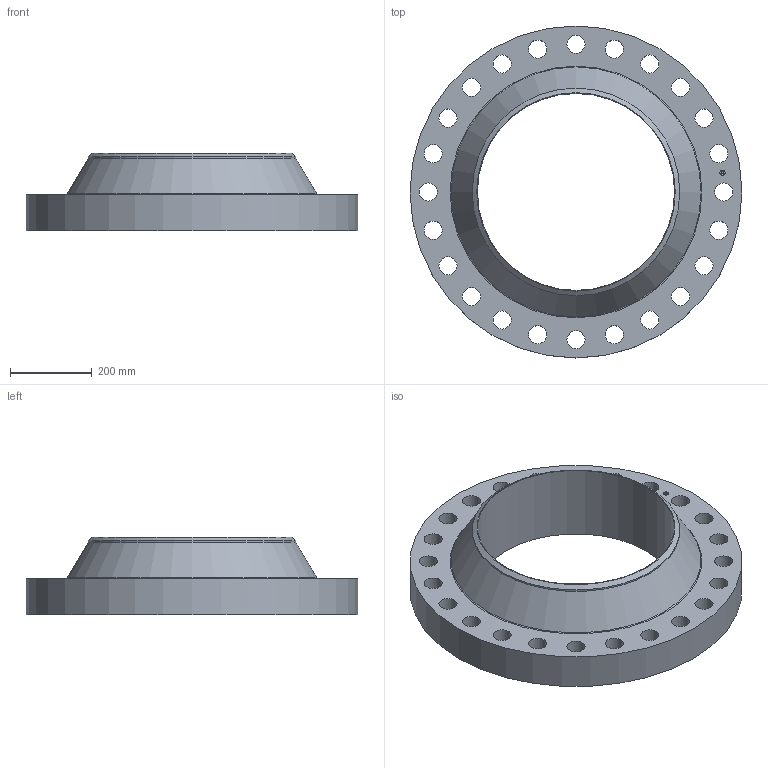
import math
import cadquery as cq

flange_diameter = 812.8
flange_thickness = 88.9

overall_height = 190.5
bore_diameter = 482.6
hub_base_diameter = 612.9
neck_diameter = 508.0
neck_straight_length = 4.0
weld_land = 1.6
bevel_angle = 37.5
hub_fillet_radius = 3.0

bolt_count = 24
bolt_circle_diameter = 723.9
bolt_hole_diameter = 44.5

recess_diameter = 12.7
recess_depth = 1.5
small_hole_diameter = 6.35
small_hole_depth = 12.7

bolt_pitch_angle = 360.0 / bolt_count
small_hole_angle = math.radians(bolt_pitch_angle / 2)

bolt_circle_radius = bolt_circle_diameter / 2
bore_radius = bore_diameter / 2
neck_radius = neck_diameter / 2
hub_base_radius = hub_base_diameter / 2
land_radius = bore_radius + weld_land
bevel_height = (neck_radius - land_radius) * math.tan(math.radians(bevel_angle))
bevel_base_z = overall_height - bevel_height
cone_top_z = bevel_base_z - neck_straight_length


def make_body():
    """Revolve the flange ring, tapered hub and bevelled weld end around Z."""
    profile = (
        cq.Workplane("XZ")
        .moveTo(bore_radius, 0)
        .lineTo(flange_diameter / 2, 0)
        .lineTo(flange_diameter / 2, flange_thickness)
        .lineTo(hub_base_radius, flange_thickness)
        .lineTo(neck_radius, cone_top_z)
        .lineTo(neck_radius, bevel_base_z)
        .lineTo(land_radius, overall_height)
        .lineTo(bore_radius, overall_height)
        .close()
    )
    body = profile.revolve(360, (0, 0, 0), (0, 1, 0))
    upper_face = body.faces("+Z").faces("<Z")
    hub_base_edge = upper_face.edges(cq.selectors.RadiusNthSelector(0))
    return hub_base_edge.fillet(hub_fillet_radius)


def cut_bolt_holes(body):
    """Drill the ring of through holes for the bolts."""
    holes = (
        cq.Workplane("XY")
        .polarArray(bolt_circle_radius, 0, 360, bolt_count)
        .circle(bolt_hole_diameter / 2)
        .extrude(flange_thickness)
    )
    return body.cut(holes)


def cut_small_hole(body):
    """Drill the stepped blind hole into the top of the flange ring."""
    hole_x = bolt_circle_radius * math.cos(small_hole_angle)
    hole_y = bolt_circle_radius * math.sin(small_hole_angle)
    top = cq.Workplane("XY", origin=(hole_x, hole_y, flange_thickness))
    recess = top.circle(recess_diameter / 2).extrude(-recess_depth)
    hole = top.circle(small_hole_diameter / 2).extrude(-small_hole_depth)
    return body.cut(recess).cut(hole)


result = cut_small_hole(cut_bolt_holes(make_body()))